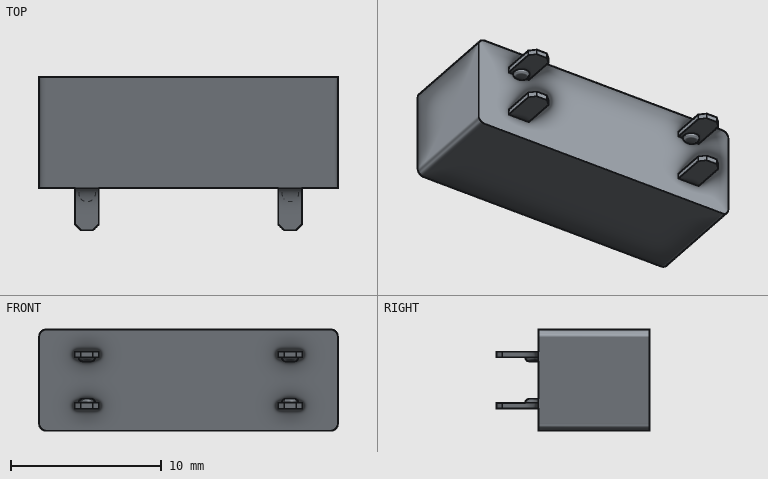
import cadquery as cq
import math

body_length = 19.81
body_depth = 7.37
body_height = 6.73
corner_radius = 0.5

total_depth = 10.16
pin_length = total_depth - body_depth
pin_width = 1.6
pin_thickness = 0.38
pin_tip_chamfer = 0.4
pin_spacing_x = 13.46
pin_spacing_z = 3.4

bump_radius = 0.55
bump_height = 0.28
bump_offset = 0.33

front_face_y = -body_depth / 2


def make_body():
    block = cq.Workplane("XY").box(body_length, body_depth, body_height)
    return block.edges("|Y").fillet(corner_radius)


def make_pin():
    """Lower pin centred on X = 0 and Z = 0, with its bump on the upper flat."""
    blade = (
        cq.Workplane("XY")
        .box(pin_width, pin_length, pin_thickness)
        .faces("<Y")
        .edges("|Z")
        .chamfer(pin_tip_chamfer)
        .translate((0, front_face_y - pin_length / 2, 0))
    )
    flat_radius = bump_radius - bump_height
    arc_reach = bump_height * math.sqrt(0.5)
    bump = (
        cq.Workplane("XZ")
        .lineTo(-bump_radius, 0)
        .threePointArc((-flat_radius - arc_reach, arc_reach), (-flat_radius, bump_height))
        .lineTo(0, bump_height)
        .close()
        .revolve(360, (0, 0), (0, 1))
        .translate((0, front_face_y - bump_offset, pin_thickness / 2))
    )
    return blade.union(bump)


result = make_body()
lower_pin = make_pin()
upper_pin = lower_pin.mirror("XY")
for pin_x in (-pin_spacing_x / 2, pin_spacing_x / 2):
    result = result.union(lower_pin.translate((pin_x, 0, -pin_spacing_z / 2)))
    result = result.union(upper_pin.translate((pin_x, 0, pin_spacing_z / 2)))